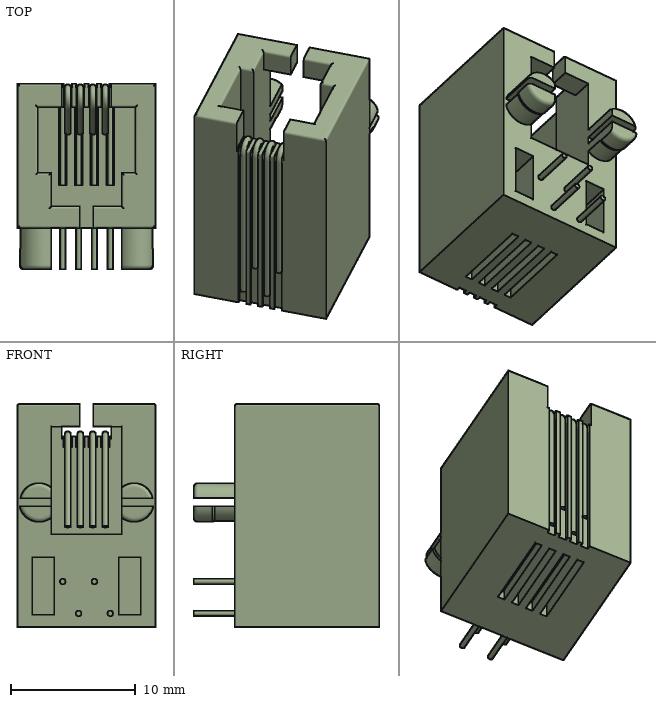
import cadquery as cq
import math


body_width = 11.1
body_depth = 11.6
body_height = 17.9
edge_round = 0.2

cavity_floor = 7.45
cavity_width = 7.8
cavity_back = 9.68
latch_width = 5.62
latch_front = 1.75
shoulder_y = 4.45

window_top = 16.07
split_width = 1.07

notch_width = 3.94
sill_height = 15.29
groove_width = 0.65
groove_floor = 14.43

contact_count = 4
contact_pitch = 1.0
contact_diameter = 0.5
hook_radius = 0.79
hook_y = 10.5
hook_z = 14.66
leg_length = 7.12
leg_tilt = math.radians(16.5)

channel_floor = hook_y + hook_radius

pin_diameter = 0.45
pin_pitch = 1.27
pin_length = 3.3
pin_embedding = 0.35
upper_row_z = 3.65
lower_row_z = 1.1
pin_slot_width = 0.59
pin_slot_front = 3.45
pin_slot_back = 9.88

post_x = 3.81
post_z = 10.02
post_radius = 1.52
post_length = pin_length
post_round = 0.34
post_gap = 0.65
lip_radius = 1.6
lip_start = 1.61
lip_ramp = 0.18

pocket_x = 3.47
pocket_width = 1.74
pocket_bottom = 1.0
pocket_height = 4.6


def block(width, y_range, z_range, x=0.0):
    """Box centred on x, between two Y and two Z values."""
    depth = y_range[1] - y_range[0]
    height = z_range[1] - z_range[0]
    corner = (x - width / 2, y_range[0], z_range[0])
    return cq.Workplane("XY").box(width, depth, height, centered=False).translate(corner)


def row_positions(count, pitch):
    """X positions of a row centred on the middle plane."""
    return [(i - (count - 1) / 2) * pitch for i in range(count)]


def make_housing():
    """Hollow housing with latch window, sill notch and rounded rims."""
    z_open = (cavity_floor, body_height)
    cavity = block(cavity_width, (shoulder_y, cavity_back), z_open)
    cavity = cavity.union(block(latch_width, (latch_front, cavity_back), z_open))
    housing = block(body_width, (0, body_depth), (0, body_height)).cut(cavity)
    housing = housing.faces(">Z").edges().fillet(edge_round)

    housing = housing.cut(block(latch_width, (0, latch_front), (cavity_floor, window_top)))
    housing = housing.cut(block(split_width, (0, shoulder_y), (window_top, body_height)))

    notch = block(notch_width, (cavity_back - edge_round, body_depth), (sill_height, body_height))
    housing = housing.cut(notch)
    sill_edges = cq.selectors.BoxSelector(
        (-notch_width / 4, cavity_back - edge_round, sill_height - edge_round),
        (notch_width / 4, body_depth + edge_round, sill_height + edge_round),
    )
    return housing.edges("|X").edges(sill_edges).fillet(edge_round)


def make_contact(x, root_z):
    """Wire rising up the back channel, hooked over the sill and sloping into the cavity."""
    tangent = (
        hook_y - hook_radius * math.cos(leg_tilt),
        hook_z + hook_radius * math.sin(leg_tilt),
    )
    leg_end = (
        tangent[0] - leg_length * math.sin(leg_tilt),
        tangent[1] - leg_length * math.cos(leg_tilt),
    )
    path = (
        cq.Workplane("YZ", origin=(x, 0, 0))
        .moveTo(channel_floor, root_z)
        .lineTo(channel_floor, hook_z)
        .threePointArc((hook_y, hook_z + hook_radius), tangent)
        .lineTo(*leg_end)
    )
    section = cq.Workplane("XY", origin=(x, channel_floor, root_z)).circle(contact_diameter / 2)
    return section.sweep(path)


def make_pin(x, z):
    """Straight pin from the back end of its slot out through the board-side face."""
    base = cq.Workplane("XZ", origin=(x, pin_slot_back + pin_embedding, z))
    return base.circle(pin_diameter / 2).extrude(pin_slot_back + pin_embedding + pin_length)


def make_post(side):
    """Post with a rounded tip, a gap across its middle and a wider lower lip."""
    z_low = post_z - lip_radius
    z_high = post_z + lip_radius
    center = (side * post_x, 0, post_z)
    base = cq.Workplane("XZ", origin=center)
    shank = base.circle(post_radius).extrude(post_length).faces("<Y").edges().fillet(post_round)
    lip_plane = base.workplane(offset=lip_start)
    ramp = lip_plane.circle(post_radius).workplane(offset=lip_ramp).circle(lip_radius).loft()
    lip_length = post_length - lip_start - lip_ramp
    lip = base.workplane(offset=lip_start + lip_ramp).circle(lip_radius).extrude(lip_length)
    lip = ramp.union(lip.faces("<Y").edges().fillet(post_round))

    y_range = (-post_length, 0)
    lower_half = block(body_width, y_range, (z_low, post_z))
    post = shank.union(lip.intersect(lower_half))
    post = post.cut(block(body_width, y_range, (post_z - post_gap / 2, post_z + post_gap / 2)))
    return post.cut(block(latch_width, y_range, (z_low, z_high)))


contact_positions = row_positions(contact_count, contact_pitch)
pin_positions = row_positions(contact_count, pin_pitch)

result = make_housing()

for x in contact_positions:
    groove = block(groove_width, (cavity_back, body_depth), (groove_floor, sill_height), x)
    channel = block(groove_width, (channel_floor, body_depth), (0, sill_height), x)
    result = result.cut(groove).cut(channel)

for x in pin_positions:
    result = result.cut(block(pin_slot_width, (pin_slot_front, pin_slot_back), (0, cavity_floor), x))

for side in (-1, 1):
    pocket_z = (pocket_bottom, pocket_bottom + pocket_height)
    result = result.cut(block(pocket_width, (0, cavity_back), pocket_z, side * pocket_x))
    result = result.union(make_post(side))

for i in range(contact_count):
    row_z = upper_row_z if i % 2 == 0 else lower_row_z
    result = result.union(make_pin(pin_positions[i], row_z))
    result = result.union(make_contact(contact_positions[i], row_z))